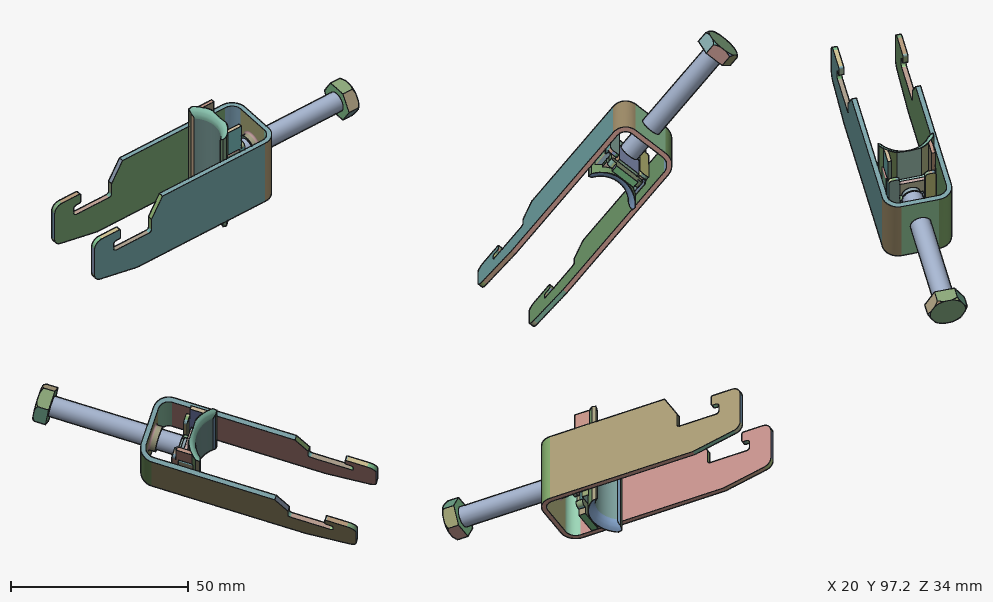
import cadquery as cq
import math


BRACKET_WIDTH = 20.0
BRACKET_LENGTH = 65.0
SHEET = 1.5
BEND_RADIUS = 4.6
BRACKET_TOP = 9.7
BRACKET_BOTTOM = -12.5
SLOPE_TOP_Y = -40.9
SLOT_REAR_Y = -44.8
SLOT_RAMP_Z = 3.0
SLOT_FLOOR_Z = -1.75
SLOT_FRONT_Y = -58.2
NOSE_Y = -55.7
NOSE_BOTTOM_Z = 1.8
HOOK_TOP_Z = 5.35
TAPER_START_Y = -49.9
TAPER_END_Z = -9.3
TIP_RADIUS = 2.6
SLOT_RADIUS = 0.9
NOSE_RADIUS = 0.6
COLLAR_RADIUS = 3.7
COLLAR_LENGTH = 2.0
COLLAR_FILLET = 0.6

SHANK_RADIUS = 3.0
HEAD_FLATS = 10.0
HEAD_HEIGHT = 4.0
HEAD_TOP_Y = 97.25 - BRACKET_LENGTH
HEAD_CHAMFER = 0.7
SHANK_END_Y = -9.7
NECK_RADIUS = 2.3
NECK_END_Y = -10.3
TIP_END_RADIUS = 2.6

SADDLE_TOP = 17.4
SADDLE_BOTTOM = -16.6
TROUGH_HALF_WIDTH = 8.0
RIM_FRONT_Y = -18.0
RIM_REAR_Y = -16.8
TROUGH_REAR_Y = -12.5
BORE_RADIUS = 7.8
BORE_APEX_Y = -14.7
BORE_AXIS_Y = BORE_APEX_Y - BORE_RADIUS
BEVEL_INNER_X = 6.0
BEVEL_OUTER_X = 6.9
MOUTH_DEPTH = 2.9
MOUTH_FLARE = 1.9
WALL = 1.1
WALL_HALF_WIDTH = 6.9
WALL_INNER_X = WALL_HALF_WIDTH - WALL
WALL_REAR_Y = -10.7
FINGER_REAR_Y = -9.4
FINGER_FRONT_Y = FINGER_REAR_Y - WALL
FINGER_INNER_X = 3.7
FINGER_REACH = 9.9
FINGER_RADIUS = 1.1
CHEEK_HALF_WIDTH = 7.3
CHEEK_REAR_Y = -11.5
CHEEK_TOP = 8.9
CHEEK_ROUND = 0.3
RELIEF_REAR_Y = -13.2

PLATE_HALF_WIDTH = 5.0
PLATE_TOP = 5.0
PLATE_CORNER = 1.1
PLATE_REAR_Y = -11.5
PLATE_FRONT_Y = TROUGH_REAR_Y
BLOCK_HALF_WIDTH = 3.5
STEM_HALF_WIDTH = 3.9
FOOT_REAR_Y = FINGER_FRONT_Y
BAR_HALF_WIDTH = 5.6
BAR_TOP = -12.1
BAR_BOTTOM = -14.4


def box(x_min, x_max, y_min, y_max, z_min, z_max):
    """Axis-aligned block between the given limits."""
    size = (x_max - x_min, y_max - y_min, z_max - z_min)
    return cq.Workplane("XY").box(*size, centered=False).translate((x_min, y_min, z_min))


def rod(radius, y_start, y_end):
    """Cylinder on the bolt axis."""
    return cq.Workplane("XZ", origin=(0, y_end, 0)).circle(radius).extrude(y_end - y_start)


def bent_strip():
    """Full-height U before the legs are cut to shape."""
    half = BRACKET_WIDTH / 2
    outer = box(-half, half, -BRACKET_LENGTH, 0, BRACKET_BOTTOM, BRACKET_TOP)
    outer = outer.edges("|Z and >Y").fillet(BEND_RADIUS)
    inner_half = half - SHEET
    inner = box(-inner_half, inner_half, -BRACKET_LENGTH, -SHEET, BRACKET_BOTTOM, BRACKET_TOP)
    inner = inner.edges("|Z and >Y").fillet(BEND_RADIUS - SHEET)
    return outer.cut(inner)


def leg_outline():
    """Side outline of the bracket as a block across the whole bracket width."""
    points = [
        (0, BRACKET_BOTTOM),
        (0, BRACKET_TOP),
        (SLOPE_TOP_Y, BRACKET_TOP),
        (SLOT_REAR_Y, SLOT_RAMP_Z),
        (SLOT_REAR_Y, SLOT_FLOOR_Z),
        (SLOT_FRONT_Y, SLOT_FLOOR_Z),
        (SLOT_FRONT_Y, NOSE_BOTTOM_Z),
        (NOSE_Y, NOSE_BOTTOM_Z),
        (NOSE_Y, HOOK_TOP_Z),
        (-BRACKET_LENGTH, HOOK_TOP_Z),
        (-BRACKET_LENGTH, TAPER_END_Z),
        (TAPER_START_Y, BRACKET_BOTTOM),
    ]
    rounded = [
        (TIP_RADIUS, [(-BRACKET_LENGTH, HOOK_TOP_Z), (-BRACKET_LENGTH, TAPER_END_Z)]),
        (SLOT_RADIUS, [(SLOT_REAR_Y, SLOT_FLOOR_Z), (SLOT_FRONT_Y, SLOT_FLOOR_Z),
                       (SLOT_FRONT_Y, NOSE_BOTTOM_Z)]),
        (NOSE_RADIUS, [(NOSE_Y, NOSE_BOTTOM_Z), (NOSE_Y, HOOK_TOP_Z)]),
    ]
    outline = cq.Workplane("YZ").polyline(points).close().extrude(BRACKET_WIDTH / 2, both=True)
    for radius, corners in rounded:
        for y, z in corners:
            corner_edge = cq.selectors.NearestToPointSelector((0, y, z))
            outline = outline.edges("|X").edges(corner_edge).fillet(radius)
    return outline


def collar():
    """Drawn collar on the inner face, blended into the sheet by a concave fillet."""
    blend = COLLAR_FILLET * (1 - math.sqrt(0.5))
    return (
        cq.Workplane("XY")
        .moveTo(0, -SHEET)
        .lineTo(COLLAR_RADIUS + COLLAR_FILLET, -SHEET)
        .threePointArc(
            (COLLAR_RADIUS + blend, -SHEET - blend),
            (COLLAR_RADIUS, -SHEET - COLLAR_FILLET),
        )
        .lineTo(COLLAR_RADIUS, -SHEET - COLLAR_LENGTH)
        .lineTo(0, -SHEET - COLLAR_LENGTH)
        .close()
        .revolve(360, (0, 0, 0), (0, 1, 0))
    )


def make_bracket():
    bracket = bent_strip().intersect(leg_outline()).union(collar())
    return bracket.cut(rod(SHANK_RADIUS, -SHEET - COLLAR_LENGTH, 0))


def bolt_head():
    """Hexagon with corners toward +X and -X and a chamfered outer end."""
    across_corners = HEAD_FLATS / math.cos(math.pi / 6)
    corner_radius = across_corners / 2
    hexagon = (
        cq.Workplane("XZ", origin=(0, HEAD_TOP_Y, 0))
        .polygon(6, across_corners)
        .extrude(HEAD_HEIGHT)
    )
    envelope = rod(corner_radius, HEAD_TOP_Y - HEAD_HEIGHT, HEAD_TOP_Y)
    return hexagon.intersect(envelope.faces(">Y").chamfer(HEAD_CHAMFER))


def make_bolt():
    shank = rod(SHANK_RADIUS, SHANK_END_Y, HEAD_TOP_Y - HEAD_HEIGHT)
    neck = rod(NECK_RADIUS, NECK_END_Y, SHANK_END_Y)
    tip = rod(TIP_END_RADIUS, PLATE_REAR_Y, NECK_END_Y)
    return bolt_head().union(shank).union(neck).union(tip)


def trough_blank():
    """Trough section: convex rear, concave front, bevels beside the rims."""
    bevel_y = BORE_AXIS_Y + math.sqrt(BORE_RADIUS**2 - BEVEL_INNER_X**2)
    return (
        cq.Workplane("XY", origin=(0, 0, SADDLE_BOTTOM))
        .moveTo(-TROUGH_HALF_WIDTH, RIM_FRONT_Y)
        .lineTo(-TROUGH_HALF_WIDTH, RIM_REAR_Y)
        .threePointArc((0, TROUGH_REAR_Y), (TROUGH_HALF_WIDTH, RIM_REAR_Y))
        .lineTo(TROUGH_HALF_WIDTH, RIM_FRONT_Y)
        .lineTo(BEVEL_OUTER_X, RIM_FRONT_Y)
        .lineTo(BEVEL_INNER_X, bevel_y)
        .threePointArc((0, BORE_APEX_Y), (-BEVEL_INNER_X, bevel_y))
        .lineTo(-BEVEL_OUTER_X, RIM_FRONT_Y)
        .close()
        .extrude(SADDLE_TOP - SADDLE_BOTTOM)
    )


def bell_mouth(end_z, outward):
    """Flared cutter around the bore axis; outward is +1 at the top, -1 at the bottom."""
    arc_radius = (MOUTH_DEPTH**2 + MOUTH_FLARE**2) / (2 * MOUTH_FLARE)
    half_depth = MOUTH_DEPTH / 2
    half_flare = arc_radius - math.sqrt(arc_radius**2 - half_depth**2)
    start_z = end_z - outward * MOUTH_DEPTH
    return (
        cq.Workplane("XZ", origin=(0, BORE_AXIS_Y, 0))
        .moveTo(0, start_z)
        .lineTo(BORE_RADIUS, start_z)
        .threePointArc(
            (BORE_RADIUS + half_flare, start_z + outward * half_depth),
            (BORE_RADIUS + MOUTH_FLARE, end_z),
        )
        .lineTo(0, end_z)
        .close()
        .revolve(360, (0, 0, 0), (0, 1, 0))
    )


def trough_front_space():
    """Everything in front of the rear surface of the trough."""
    return (
        cq.Workplane("XY", origin=(0, 0, SADDLE_BOTTOM))
        .moveTo(-TROUGH_HALF_WIDTH, RIM_REAR_Y)
        .threePointArc((0, TROUGH_REAR_Y), (TROUGH_HALF_WIDTH, RIM_REAR_Y))
        .close()
        .extrude(SADDLE_TOP - SADDLE_BOTTOM)
    )


def side_wall():
    """Wall on the +X side with a thicker cheek beside the finger."""
    wall = box(WALL_INNER_X, WALL_HALF_WIDTH, RIM_REAR_Y, WALL_REAR_Y, -FINGER_REACH, SADDLE_TOP)
    cheek = box(WALL_INNER_X, CHEEK_HALF_WIDTH, RIM_REAR_Y, CHEEK_REAR_Y, -FINGER_REACH, CHEEK_TOP)
    cheek = cheek.edges(">X and (not >Y) and (not <Y)").fillet(CHEEK_ROUND)
    return wall.union(cheek).cut(trough_front_space())


def finger():
    """Rear finger on the +X side, bent inward from the wall, with rounded ends."""
    pad = box(FINGER_INNER_X, WALL_HALF_WIDTH, FINGER_FRONT_Y, FINGER_REAR_Y,
              -FINGER_REACH, FINGER_REACH)
    pad = pad.edges("|Y").fillet(FINGER_RADIUS)
    root_reach = FINGER_REACH - FINGER_RADIUS
    root = box(WALL_INNER_X, WALL_HALF_WIDTH, WALL_REAR_Y, FINGER_FRONT_Y, -root_reach, root_reach)
    return pad.union(root)


def rear_relief():
    """Shallow cut that thins the rear of the trough above the retainer plate."""
    return box(-WALL_INNER_X, WALL_INNER_X, RELIEF_REAR_Y, TROUGH_REAR_Y, PLATE_TOP, SADDLE_TOP)


def seat():
    """Flat seat for the retainer plate, filling the rear of the trough between the walls."""
    block = box(-WALL_INNER_X, WALL_INNER_X, RIM_REAR_Y, TROUGH_REAR_Y, BAR_TOP, PLATE_TOP)
    return block.cut(trough_front_space())


def make_saddle():
    saddle = trough_blank()
    saddle = saddle.cut(bell_mouth(SADDLE_TOP, 1)).cut(bell_mouth(SADDLE_BOTTOM, -1))
    saddle = saddle.cut(rear_relief()).union(seat())
    half = side_wall().union(finger())
    return saddle.union(half).union(half.mirror("YZ"))


def make_retainer(bolt):
    """Plate with the block that carries the bolt end, and the bar and stem below it."""
    plate = box(-PLATE_HALF_WIDTH, PLATE_HALF_WIDTH, PLATE_FRONT_Y, PLATE_REAR_Y, BAR_TOP, PLATE_TOP)
    plate = plate.edges("|Y and >Z").fillet(PLATE_CORNER)
    block = box(-BLOCK_HALF_WIDTH, BLOCK_HALF_WIDTH, PLATE_REAR_Y, SHANK_END_Y, BAR_TOP, 0)
    bar = (
        cq.Workplane("XZ", origin=(0, FOOT_REAR_Y, (BAR_TOP + BAR_BOTTOM) / 2))
        .slot2D(2 * BAR_HALF_WIDTH, BAR_TOP - BAR_BOTTOM)
        .extrude(FOOT_REAR_Y - PLATE_FRONT_Y)
    )
    stem = box(-STEM_HALF_WIDTH, STEM_HALF_WIDTH, PLATE_FRONT_Y, FOOT_REAR_Y, SADDLE_BOTTOM, BAR_TOP)
    return plate.union(block).union(bar).union(stem).cut(bolt)


bracket = make_bracket()
bolt = make_bolt()
saddle = make_saddle()
retainer = make_retainer(bolt)

bodies = [bracket, bolt, saddle, retainer]
result = cq.Compound.makeCompound([body.solids().val() for body in bodies])